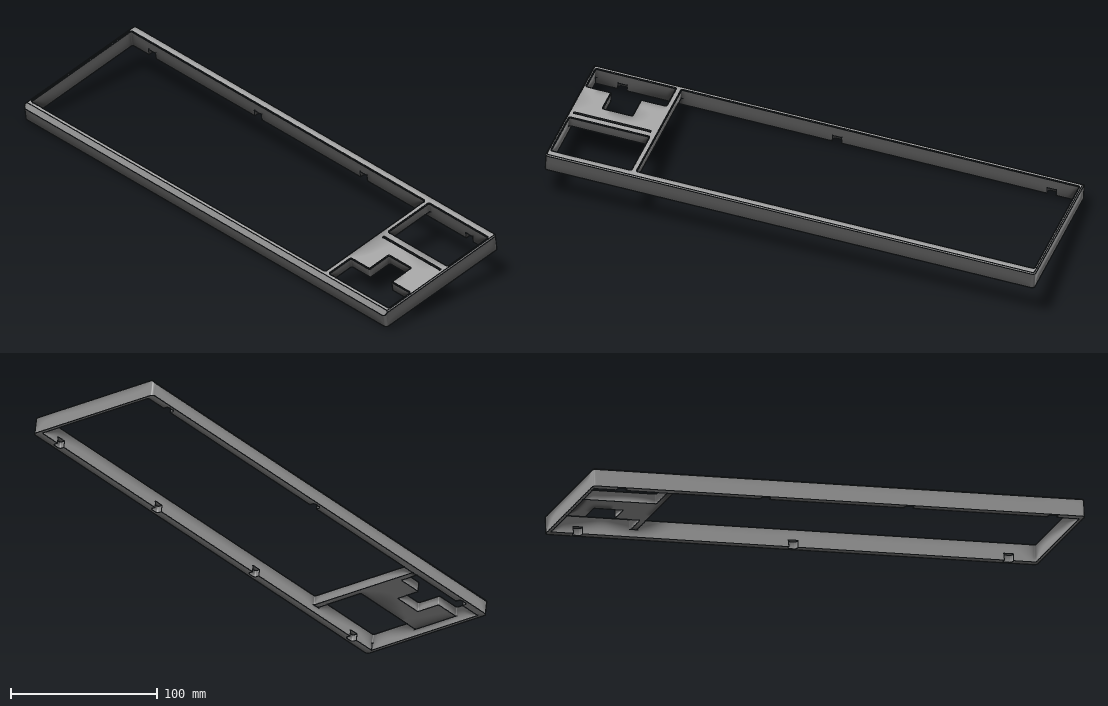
import cadquery as cq
FRAME_LENGTH = 353.5
FRAME_HEIGHT = 12.7
OPENING_DEPTH = 96.0
TILT_ANGLE = 7.5
OUTER_CORNER_RADIUS = 2.5

FRONT_CHAMFER = 3.2
RIM_CHAMFER = 0.9
INNER_CHAMFER = 0.53

SIDE_WALL = 2.5
LONG_WALL_LAND = 2.45
LONG_WALL = FRONT_CHAMFER + LONG_WALL_LAND + INNER_CHAMFER

DIVIDER_LEFT = 289.3
DIVIDER_WIDTH = 4.2
CROSS_MEMBER_HEIGHT = 7.5
OPENING_CORNER_RADIUS = 1.0

REAR_OPENING_DEPTH = 39.0
PLATE_DEPTH = 36.5
PLATE_NOTCH_WIDTH = 21.2
PLATE_NOTCH_DEPTH = 18.7
PLATE_NOTCH_RADIUS = 0.8
GROOVE_SETBACK = 5.3
GROOVE_WIDTH = 1.5
GROOVE_DEPTH = 1.5
GROOVE_END_GAP = 1.0

POCKET_WIDTH = 6.7
POCKET_DEPTH = 4.0
POCKET_HEIGHT = 5.0
POCKET_CORNER_RADIUS = 1.8
POCKET_END_OFFSET = 22.0
REAR_POCKET_COUNT = 4
FRONT_POCKET_COUNT = 3

INNER_RIGHT = FRAME_LENGTH - SIDE_WALL
INNER_REAR = LONG_WALL + OPENING_DEPTH
FRAME_DEPTH = INNER_REAR + LONG_WALL
DIVIDER_RIGHT = DIVIDER_LEFT + DIVIDER_WIDTH
BAY_CENTRE = (DIVIDER_RIGHT + INNER_RIGHT) / 2
PLATE_REAR = INNER_REAR - REAR_OPENING_DEPTH
PLATE_FRONT = PLATE_REAR - PLATE_DEPTH


def block(x_range, y_range, z_range):
    """Axis-aligned box between the given limits."""
    size = [high - low for low, high in (x_range, y_range, z_range)]
    corner = (x_range[0], y_range[0], z_range[0])
    return cq.Workplane("XY").box(*size, centered=False).translate(corner)


def outer_body():
    body = block((0, FRAME_LENGTH), (0, FRAME_DEPTH), (0, FRAME_HEIGHT))
    body = body.edges("|Z").fillet(OUTER_CORNER_RADIUS)
    body = body.faces(">Z").edges().chamfer(RIM_CHAMFER)
    front_bevel = (
        cq.Workplane("YZ")
        .moveTo(0, FRAME_HEIGHT - FRONT_CHAMFER)
        .lineTo(FRONT_CHAMFER, FRAME_HEIGHT)
        .lineTo(0, FRAME_HEIGHT)
        .close()
        .extrude(FRAME_LENGTH)
    )
    return body.cut(front_bevel)


def opening(x_range, y_range):
    """Cutter for a through opening with rounded vertical corners."""
    cutter = block(x_range, y_range, (0, FRAME_HEIGHT))
    return cutter.edges("|Z").fillet(OPENING_CORNER_RADIUS)


def front_bay_opening():
    """Cutter for the bay opening ahead of the plate, joined by the notch in the plate."""
    bay = opening((DIVIDER_RIGHT, INNER_RIGHT), (LONG_WALL, PLATE_FRONT))
    half_width = PLATE_NOTCH_WIDTH / 2
    notch = block(
        (BAY_CENTRE - half_width, BAY_CENTRE + half_width),
        (PLATE_FRONT - PLATE_NOTCH_DEPTH / 2, PLATE_FRONT + PLATE_NOTCH_DEPTH),
        (0, FRAME_HEIGHT),
    )
    notch_corners = cq.selectors.BoxSelector(
        (BAY_CENTRE - PLATE_NOTCH_WIDTH, PLATE_FRONT - PLATE_NOTCH_RADIUS, 0),
        (BAY_CENTRE + PLATE_NOTCH_WIDTH, INNER_REAR, FRAME_HEIGHT),
    )
    cutter = bay.union(notch)
    return cutter.edges("|Z").edges(notch_corners).fillet(PLATE_NOTCH_RADIUS)


def bevel_openings(frame):
    """Chamfer the upper edges of every opening."""
    opening_wires = frame.faces(">Z").val().innerWires()
    rim_edges = [edge for wire in opening_wires for edge in wire.Edges()]
    return frame.newObject(rim_edges).chamfer(INNER_CHAMFER)


def plate_groove():
    groove_rear = PLATE_REAR - GROOVE_SETBACK
    return block(
        (DIVIDER_RIGHT + GROOVE_END_GAP, INNER_RIGHT - GROOVE_END_GAP),
        (groove_rear - GROOVE_WIDTH, groove_rear),
        (FRAME_HEIGHT - GROOVE_DEPTH, FRAME_HEIGHT),
    )


def underside_relief():
    """Cutter that leaves the divider and the plate shallower than the walls."""
    return block(
        (DIVIDER_LEFT - OPENING_CORNER_RADIUS, INNER_RIGHT),
        (LONG_WALL, INNER_REAR),
        (0, FRAME_HEIGHT - CROSS_MEMBER_HEIGHT),
    )


def wall_pockets(count, wall_y):
    """Row of evenly spaced pockets reaching from an inner wall face into the wall."""
    spacing = (FRAME_LENGTH - 2 * POCKET_END_OFFSET) / (count - 1)
    centres = [(POCKET_END_OFFSET + i * spacing, wall_y) for i in range(count)]
    return (
        cq.Workplane("XY")
        .pushPoints(centres)
        .rect(POCKET_WIDTH, 2 * POCKET_DEPTH)
        .extrude(POCKET_HEIGHT)
        .edges("|Z")
        .fillet(POCKET_CORNER_RADIUS)
    )


frame = outer_body()
frame = frame.cut(opening((SIDE_WALL, DIVIDER_LEFT), (LONG_WALL, INNER_REAR)))
frame = frame.cut(opening((DIVIDER_RIGHT, INNER_RIGHT), (PLATE_REAR, INNER_REAR)))
frame = frame.cut(front_bay_opening())
frame = bevel_openings(frame)
frame = frame.cut(plate_groove())
frame = frame.cut(underside_relief())
frame = frame.cut(wall_pockets(REAR_POCKET_COUNT, INNER_REAR))
frame = frame.cut(wall_pockets(FRONT_POCKET_COUNT, LONG_WALL))

result = frame.rotate((0, 0, 0), (1, 0, 0), TILT_ANGLE)